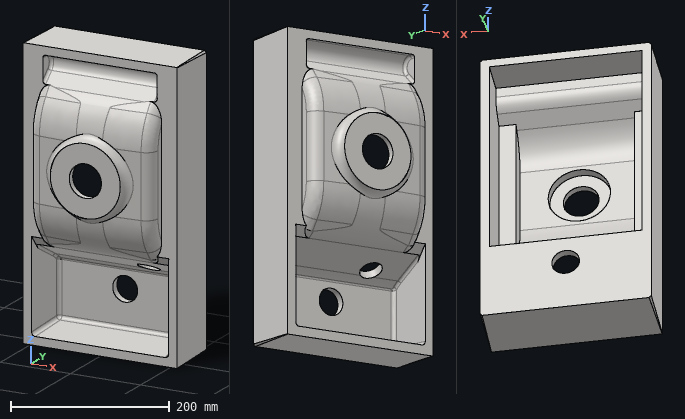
import cadquery as cq
import math


width = 220
depth = 80
height = 400
rim = 12
wall = 12
corner_cut_front = 0.5
corner_cut_back = 3.0

dome_z = 244
dome_rise = 29.0
dome_half_width = 88
dome_flat_half = 45.0
dome_radius = 77.0
dome_edge_radius = 17.0
dome_root_y = 24
crown_radius = 880
crown_gap = 0.2
crown_lean = math.radians(38)
upper_lean = math.radians(50)
lower_lean = math.radians(61)

boss_rise = 40
boss_radius = 50.0
boss_foot_radius = 62.0
boss_foot_rise = 27.0
boss_wall = 10.0
boss_hollow_radius = boss_radius - boss_wall
boss_flare_radius = 14.0
boss_hole_radius = 23.0

trough_half_width = 81.5
trough_radius = 14.0
trough_corner_radius = 4

tray_half_width = 97.5
tray_bottom_z = 12.5
tray_floor_y = depth - wall
tray_side_draft = 2.5
tray_bottom_draft = 4.5
tray_ceiling_z = 144.5
tray_floor_top_z = 97.0
tray_bend_y = 55.5
tray_fillet = 5.0
tray_ceiling_fillet = 3.5

drain_z = 70.0
drain_radius = 17.5
overflow_x = 45.5
overflow_z = 112
overflow_radius = 15.0


def dome_end(lean, side, inset=0):
    """Point of the dome arc whose normal is tilted from -Y by lean; side is +1 above, -1 below."""
    radius = dome_radius - inset
    y = -dome_rise + dome_radius - radius * math.cos(lean)
    z = dome_z + side * (dome_flat_half + radius * math.sin(lean))
    return y, z


def slope_z(start, lean, side, y):
    """Height at depth y of the straight slope that leaves the dome arc at start."""
    return start[1] + side * (y - start[0]) / math.tan(lean)


def slab(outline, half_width):
    """Solid with a closed YZ outline, symmetric about X = 0."""
    return outline.close().extrude(half_width, both=True)


def cylinder_along_y(x, z, radius, start_y, end_y):
    """Cylinder between two depths."""
    return cq.Workplane("XZ", origin=(x, end_y, z)).circle(radius).extrude(end_y - start_y)


upper_end = dome_end(upper_lean, 1)
lower_end = dome_end(lower_lean, -1)

trough_top_z = height - rim
trough_z = trough_top_z - trough_radius
trough_start_z = trough_z - trough_radius * math.sin(upper_lean)
trough_start_y = upper_end[0] + (trough_start_z - upper_end[1]) * math.tan(upper_lean)
trough_y = trough_start_y - trough_radius * math.cos(upper_lean)


def make_box():
    """Box whose four long corners get a chamfer growing towards the back."""
    def section(y, cut):
        return (
            cq.Workplane("XZ", origin=(0, y, height / 2))
            .rect(width, height)
            .extrude(-4)
            .edges("|Y")
            .chamfer(cut)
            .faces("<Y")
            .wires()
            .val()
        )
    front = section(0, corner_cut_front)
    back = section(depth, corner_cut_back)
    return cq.Workplane(cq.Solid.makeLoft([front, back], True))


def dome_outline(root_y, inset=0, top_lean=upper_lean, bottom_lean=lower_lean):
    """Slope rising from root_y, arc, flat front and lower arc; inset shrinks it all round."""
    top = dome_end(top_lean, 1, inset)
    bottom = dome_end(bottom_lean, -1, inset)
    front_y = -dome_rise + inset
    return (
        cq.Workplane("YZ")
        .moveTo(root_y, slope_z(top, top_lean, 1, root_y))
        .lineTo(*top)
        .tangentArcPoint((front_y, dome_z + dome_flat_half), relative=False)
        .lineTo(front_y, dome_z - dome_flat_half)
        .tangentArcPoint(bottom, relative=False)
    )


def make_crown():
    """Body of revolution that bows the front of the dome from side to side."""
    axis_y = crown_radius - dome_rise
    bottom = dome_end(crown_lean, -1, -crown_gap)
    root_bottom_z = slope_z(bottom, crown_lean, -1, dome_root_y)
    root_top_z = 2 * dome_z - root_bottom_z
    return (
        dome_outline(dome_root_y, -crown_gap, crown_lean, crown_lean)
        .lineTo(dome_root_y, root_bottom_z)
        .lineTo(axis_y, root_bottom_z)
        .lineTo(axis_y, root_top_z)
        .close()
        .revolve(360, (axis_y, 0, 0), (axis_y, 1, 0))
    )


def make_dome():
    outline = dome_outline(trough_start_y).lineTo(dome_root_y, tray_ceiling_z + wall)
    dome = slab(outline, dome_half_width).intersect(make_crown())
    surface_box = cq.selectors.BoxSelector(
        (-width, -boss_rise, lower_end[1]),
        (width, lower_end[0], height),
    )
    return dome.faces("<X or >X").edges(surface_box).fillet(dome_edge_radius)


def make_boss():
    """Disc with a concave flare that runs out on the dome."""
    return (
        cq.Workplane("XY", origin=(0, 0, dome_z))
        .moveTo(0, 0)
        .lineTo(0, -boss_rise)
        .lineTo(boss_radius, -boss_rise)
        .radiusArc((boss_foot_radius, -boss_foot_rise), boss_flare_radius)
        .lineTo(boss_radius, -boss_foot_rise + wall)
        .lineTo(boss_radius, 0)
        .close()
        .revolve(360, (0, 0, 0), (0, 1, 0))
    )


def make_trough():
    outline = (
        cq.Workplane("YZ")
        .moveTo(0, slope_z(upper_end, upper_lean, 1, 0))
        .lineTo(trough_start_y, trough_start_z)
        .tangentArcPoint((trough_y, trough_top_z), relative=False)
        .lineTo(0, trough_top_z)
    )
    trough = slab(outline, trough_half_width)
    return trough.faces("<X or >X").edges("not <Y").fillet(trough_corner_radius)


def make_tray():
    """Drafted pocket with rounded floor edges, closed above by the underside of the dome."""
    def section(y, half_width, bottom_z):
        return cq.Wire.makePolygon([
            cq.Vector(-half_width, y, bottom_z),
            cq.Vector(half_width, y, bottom_z),
            cq.Vector(half_width, y, dome_z),
            cq.Vector(-half_width, y, dome_z),
        ], close=True)

    mouth = section(0, tray_half_width, tray_bottom_z)
    floor = section(
        tray_floor_y,
        tray_half_width - tray_side_draft,
        tray_bottom_z + tray_bottom_draft,
    )
    prism = cq.Workplane(cq.Solid.makeLoft([mouth, floor], True))
    prism = prism.faces("<Z or >Y or <X or >X").edges("not(>Z or <Y)").fillet(tray_fillet)
    outline = (
        cq.Workplane("YZ")
        .moveTo(0, 0)
        .lineTo(0, tray_ceiling_z)
        .lineTo(*lower_end)
        .lineTo(tray_bend_y, slope_z(lower_end, lower_lean, -1, tray_bend_y))
        .tangentArcPoint((tray_floor_y, tray_floor_top_z), relative=False)
        .lineTo(tray_floor_y, 0)
    )
    tray = prism.intersect(slab(outline, width))
    ceiling_sides = cq.selectors.BoxSelector(
        (-width, 0, tray_floor_top_z),
        (width, tray_floor_y, tray_ceiling_z),
    )
    side_edges = tray.edges(ceiling_sides).edges("not |X").edges("not(<Y or >Y)")
    return side_edges.fillet(tray_ceiling_fillet)


def make_cavity():
    """Hollow open at the back, one wall thickness behind the dome, the trough and the tray."""
    upper = dome_end(upper_lean, 1, wall)
    lower = dome_end(lower_lean, -1, wall)
    outer_radius = trough_radius + wall
    start = (
        trough_y + outer_radius * math.cos(upper_lean),
        trough_z - outer_radius * math.sin(upper_lean),
    )
    body = (
        cq.Workplane("YZ")
        .moveTo(wall, slope_z(upper, upper_lean, 1, wall))
        .lineTo(*start)
        .tangentArcPoint((trough_y + outer_radius, trough_z), relative=False)
        .lineTo(trough_y + outer_radius, trough_top_z)
        .lineTo(depth, trough_top_z)
        .lineTo(depth, slope_z(lower, lower_lean, -1, depth))
        .lineTo(wall, slope_z(lower, lower_lean, -1, wall))
    )
    dome_hollow = slab(dome_outline(lower[0], wall), dome_half_width - wall)
    boss_hollow = cylinder_along_y(0, dome_z, boss_hollow_radius, boss_wall - boss_rise, wall)
    return slab(body, width / 2 - rim).union(dome_hollow).union(boss_hollow)


def make_overflow():
    """Hole square to the sloping tray ceiling, reaching into the cavity."""
    y = lower_end[0] + (lower_end[1] - overflow_z) * math.tan(lower_lean)
    axis = cq.Vector(0, math.cos(lower_lean), math.sin(lower_lean))
    reach = 2 * wall
    start = cq.Vector(overflow_x, y, overflow_z) - axis * reach
    return cq.Solid.makeCylinder(overflow_radius, 2 * reach, start, axis)


result = make_box().cut(make_trough()).cut(make_tray())
result = result.union(make_dome()).union(make_boss()).cut(make_cavity())
result = result.cut(cylinder_along_y(0, dome_z, boss_hole_radius, -boss_rise, 0))
result = result.cut(cylinder_along_y(0, drain_z, drain_radius, 0, depth))
result = result.cut(cq.Workplane(make_overflow()))